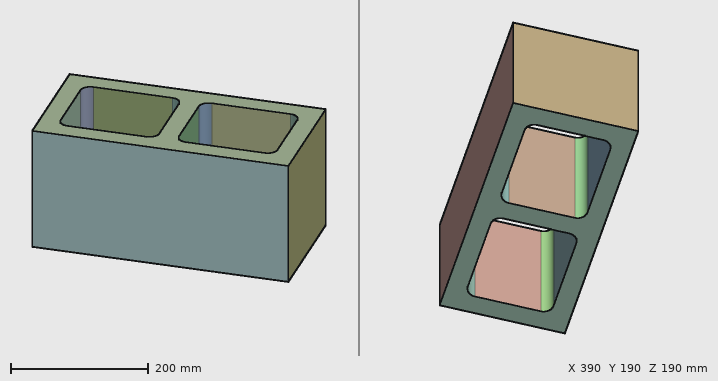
import cadquery as cq

length = 390.0
width = 190.0
height = 190.0
wall = 30.0
corner_radius = 15.0
cell_count = 2

cell_length = (length - (cell_count + 1) * wall) / cell_count
cell_width = width - 2 * wall
cell_pitch = cell_length + wall


def make_block():
    """Solid outer block."""
    return cq.Workplane("XY").box(length, width, height, centered=(True, True, False))


def make_cells():
    """Full-height cores with rounded vertical corners, in a row along X."""
    return (
        cq.Workplane("XY")
        .rarray(cell_pitch, 1, cell_count, 1)
        .rect(cell_length, cell_width)
        .extrude(height)
        .edges("|Z")
        .fillet(corner_radius)
    )


result = make_block().cut(make_cells())